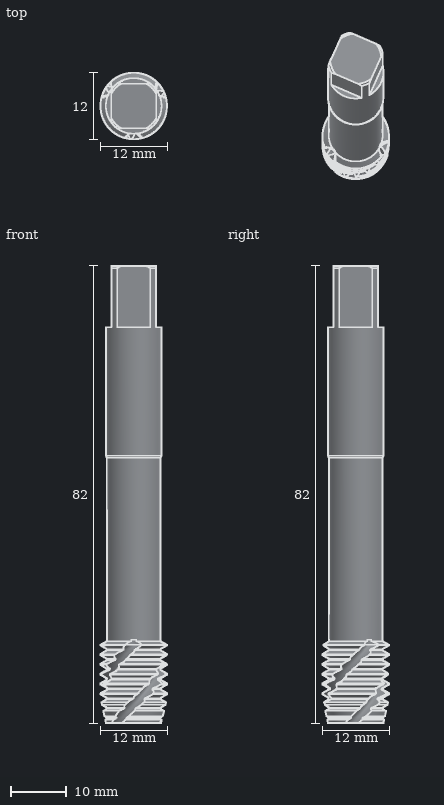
import cadquery as cq
import math

total_length = 82.0

shank_radius = 5.0
neck_radius = 4.8
square_width = 8.0
square_length = 11.0
square_top_chamfer = 0.4
shoulder_top_z = 48.0
shoulder_length = 0.4

thread_radius = 6.0
pitch_count = 8
thread_angle = 60.0
head_length = 14.0
tip_radius = 5.0
taper_length = 4.5

flute_count = 3
flute_lead = 32.0
flute_radius = 1.5
flute_center_radius = 5.7
flute_top_angle = 270.0
runout_center_radius = 6.2
runout_length = 0.9

square_base_z = total_length - square_length
thread_pitch = head_length / pitch_count
crest_width = thread_pitch / 8
thread_depth = thread_radius - neck_radius
flank_height = thread_depth * math.tan(math.radians(thread_angle / 2))
neck_base_z = head_length + flank_height


def revolve_profile(points):
    """Solid of revolution about Z from (radius, height) points."""
    return cq.Workplane("YZ").polyline(points).close().revolve(360, (0, 0), (0, 1))


def make_flute_cutters():
    """Right-hand helical cutters running the full length of the head."""
    twist = 360 * head_length / flute_lead
    return (
        cq.Workplane("XY")
        .polarArray(flute_center_radius, flute_top_angle - twist, 360, flute_count)
        .circle(flute_radius)
        .twistExtrude(head_length, twist)
    )


def make_runout_cutters():
    """Straight, shallower scoops that carry the flutes into the shank body."""
    return (
        cq.Workplane("XY", origin=(0, 0, head_length))
        .polarArray(runout_center_radius, flute_top_angle, 360, flute_count)
        .circle(flute_radius)
        .extrude(runout_length)
    )


def make_shank():
    """Upper thread flank, neck, shank and square drive, standing on the head."""
    body = revolve_profile([
        (0, head_length),
        (thread_radius, head_length),
        (neck_radius, neck_base_z),
        (neck_radius, shoulder_top_z - shoulder_length),
        (shank_radius, shoulder_top_z),
        (shank_radius, total_length - square_top_chamfer),
        (shank_radius - square_top_chamfer, total_length),
        (0, total_length),
    ])
    square_stock = (
        cq.Workplane("XY", origin=(0, 0, square_base_z))
        .circle(2 * shank_radius)
        .rect(square_width, square_width)
        .extrude(square_length)
    )
    return body.cut(square_stock).cut(make_runout_cutters())


def make_thread_ring(crest_z):
    """One V-shaped thread ridge, with the core inside it."""
    half_crest = crest_width / 2
    half_base = half_crest + flank_height
    return revolve_profile([
        (0, crest_z - half_base),
        (neck_radius, crest_z - half_base),
        (thread_radius, crest_z - half_crest),
        (thread_radius, crest_z + half_crest),
        (neck_radius, crest_z + half_base),
        (0, crest_z + half_base),
    ])


def make_head():
    """Threaded head with its tapered lead and helical flutes."""
    head = cq.Workplane("XY").circle(neck_radius).extrude(head_length)
    for index in range(pitch_count + 1):
        head = head.union(make_thread_ring(index * thread_pitch))
    lead_envelope = revolve_profile([
        (0, 0),
        (tip_radius, 0),
        (thread_radius, taper_length),
        (thread_radius, head_length),
        (0, head_length),
    ])
    return head.intersect(lead_envelope).cut(make_flute_cutters())


shank = make_shank()
head = make_head()

result = cq.Compound.makeCompound([shank.val(), head.val()])